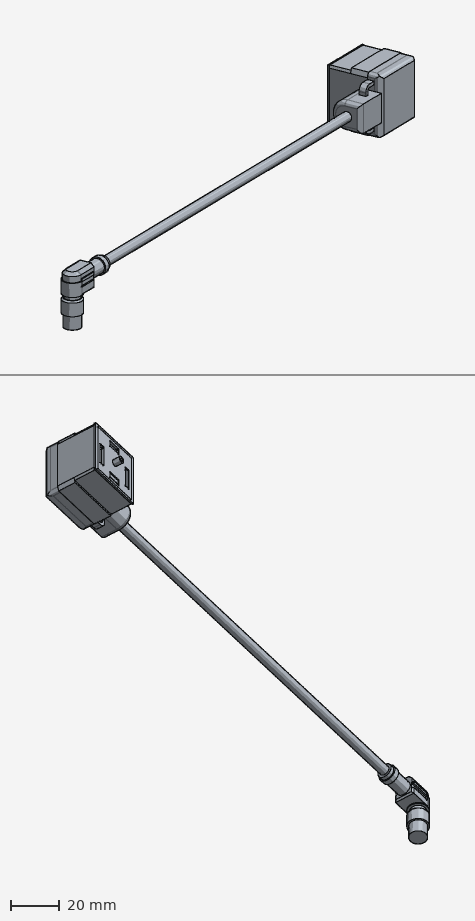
import cadquery as cq
import math


x_left = -23.0
x_right = 7.0
z_top = 14.0
z_bottom = -20.2
total_length = 252.0

block_length = 26.0
block_mid_y = -block_length / 2
seal_face_x = -19.5
gasket_thickness = 0.8
gasket_border_y = 1.5
step_x = -8.3
low_half_height = 13.0
flat_half_height = 11.8
low_bevel_y = 0.5
tall_bevel_y = 0.8
cover_joint_x = 0.0
cover_corner_radius = 1.8
cover_dome_x = 3.5
cover_dome_drop = 1.5

recess_depth = 0.5
slot_depth = 3.0
slot_width = 1.0
slot_margin = 0.8
side_recess_width = 2.5
side_recess_height = 10.5
side_recess_z = -1.8
side_recess_offset = 8.7
end_recess_width = 6.3
end_recess_height = 3.0
end_recess_offset = 8.8

screw_radius = 1.5
screw_hole_radius = 0.8
screw_hole_depth = 1.3

grip_radius = 6.5
grip_center_x = -1.0
grip_right_x = 6.8
grip_length = 15.4
grip_end_round = 2.0
grip_end_y = -block_length - grip_length

clip_width = 3.3
clip_thickness = 1.5
clip_outer_z = 11.0
clip_reach = 6.3
clip_bend_radius = 3.0

cable_radius = 2.3

sleeve_start_y = -224.2
sleeve_radius = 3.4
ring_start_y = -226.0
ring_length = 2.5
ring_radius = 4.0
head_start_y = -237.3
head_radius = 4.65
head_axis_y = -total_length + head_radius
head_bottom_z = -4.8
head_back_bevel = 0.8
head_ledge_z = 1.0
head_shoulder_z = 2.0
head_top_z = 5.3
head_top_inset = 0.5
head_top_bevel = 1.5
foot_bottom_z = -5.3
side_groove_top_z = 0.8
side_groove_height = 2.3
side_groove_depth = 0.8
neck_radius = 3.5

nut_top_z = -7.0
nut_step_z = -13.9
nut_radius = 4.65
nut_bevel = 0.8
thread_radius = 3.9


def block(x0, x1, y0, y1, z0, z1):
    """Box between two corner positions."""
    return cq.Workplane("XY").box(x1 - x0, y1 - y0, z1 - z0, centered=False).translate((x0, y0, z0))


def rod(radius, y_start, y_end):
    """Cylinder on the cable axis, running toward -Y."""
    return cq.Workplane("XZ", origin=(0, y_start, 0)).circle(radius).extrude(y_start - y_end)


def beveled_block(x0, x1, half_height, bevel_y):
    """Block along X whose four long edges are beveled down to the flat front and back."""
    half_length = block_length / 2
    outline = [
        (half_length, flat_half_height),
        (half_length - bevel_y, half_height),
        (bevel_y - half_length, half_height),
        (-half_length, flat_half_height),
        (-half_length, -flat_half_height),
        (bevel_y - half_length, -half_height),
        (half_length - bevel_y, -half_height),
        (half_length, -flat_half_height),
    ]
    return cq.Workplane("YZ", origin=(x0, block_mid_y, 0)).polyline(outline).close().extrude(x1 - x0)


def gasket_opening():
    """Inside of the gasket frame, filled by the contact face of the housing."""
    return block(seal_face_x, seal_face_x + gasket_thickness, gasket_border_y - block_length,
                 -gasket_border_y, -flat_half_height, flat_half_height)


def make_gasket():
    plate = block(seal_face_x, seal_face_x + gasket_thickness, -block_length, 0,
                  -low_half_height, low_half_height)
    return plate.cut(gasket_opening())


def pocket(y, z, size_y, size_z, depth):
    """Rectangular pocket in the sealing face; y is measured from the middle of the connector."""
    face = cq.Workplane("YZ", origin=(seal_face_x, block_mid_y, 0))
    return face.center(y, z).rect(size_y, size_z).extrude(depth)


def contact_pockets():
    """Shallow recesses, two upright at the sides and two lying above and below.

    A deeper slot runs along the inner edge of each upright one and the outer edge of each lying one.
    """
    pockets = cq.Workplane("XY")
    side_slot_offset = side_recess_offset - (side_recess_width - slot_width) / 2
    end_slot_offset = end_recess_offset + (end_recess_height - slot_width) / 2
    for side in (1, -1):
        recess_y = side * side_recess_offset
        recess_z = side * end_recess_offset
        pockets = (
            pockets
            .add(pocket(recess_y, side_recess_z, side_recess_width, side_recess_height, recess_depth))
            .add(pocket(side * side_slot_offset, side_recess_z, slot_width,
                        side_recess_height - 2 * slot_margin, slot_depth))
            .add(pocket(0, recess_z, end_recess_width, end_recess_height, recess_depth))
            .add(pocket(0, side * end_slot_offset, end_recess_width - 2 * slot_margin,
                        slot_width, slot_depth))
        )
    return pockets.combine()


def make_housing():
    low_part = beveled_block(seal_face_x + gasket_thickness, step_x, low_half_height, low_bevel_y)
    tall_part = beveled_block(step_x, cover_joint_x, z_top, tall_bevel_y)
    return low_part.union(tall_part).union(gasket_opening()).clean().cut(contact_pockets())


def dome_profile(plane, origin, half_width):
    """Outline that narrows along an arc at the outer end of the cover."""
    dome_depth = x_right - cover_dome_x
    arc_radius = (dome_depth**2 + cover_dome_drop**2) / (2 * cover_dome_drop)
    mid_drop = arc_radius - math.sqrt(arc_radius**2 - (dome_depth / 2) ** 2)
    mid_x = cover_dome_x + dome_depth / 2
    return (
        cq.Workplane(plane, origin=origin)
        .moveTo(cover_joint_x, -half_width)
        .lineTo(cover_dome_x, -half_width)
        .threePointArc((mid_x, mid_drop - half_width), (x_right, cover_dome_drop - half_width))
        .lineTo(x_right, half_width - cover_dome_drop)
        .threePointArc((mid_x, half_width - mid_drop), (cover_dome_x, half_width))
        .lineTo(cover_joint_x, half_width)
        .close()
    )


def make_cover():
    rounded = (
        block(cover_joint_x, x_right, -block_length, 0, -z_top, z_top)
        .edges("|X")
        .fillet(cover_corner_radius)
    )
    side_shape = dome_profile("XZ", (0, 0, 0), z_top).extrude(block_length)
    plan_shape = dome_profile("XY", (0, block_mid_y, 0), block_length / 2).extrude(z_top, both=True)
    return rounded.intersect(side_shape).intersect(plan_shape)


def make_screw():
    """Projecting end of the central screw, with a blind hole in its face."""
    return (
        cq.Workplane("YZ", origin=(seal_face_x, block_mid_y, 0))
        .circle(screw_radius)
        .extrude(x_left - seal_face_x)
        .faces("<X")
        .workplane()
        .hole(2 * screw_hole_radius, screw_hole_depth)
    )


def make_grip():
    """D-shaped grip: a half round on the left and a flat-sided block on the right."""
    return (
        cq.Workplane("XZ", origin=(0, -block_length, 0))
        .moveTo(grip_center_x, grip_radius)
        .threePointArc((grip_center_x - grip_radius, 0), (grip_center_x, -grip_radius))
        .lineTo(grip_right_x, -grip_radius)
        .lineTo(grip_right_x, grip_radius)
        .close()
        .extrude(grip_length)
        .faces("<Y")
        .edges()
        .fillet(grip_end_round)
    )


def make_clip(side):
    """Bent strip from the cover face to the grip; side is +1 above the grip and -1 below it."""
    y_face = -block_length
    y_end = y_face - clip_reach
    bend_y = y_end + clip_bend_radius
    bend_z = clip_outer_z - clip_bend_radius
    inner_radius = clip_bend_radius - clip_thickness
    diagonal = math.sqrt(0.5)

    def at(y, z):
        return (y, side * z)

    return (
        cq.Workplane("YZ", origin=(cover_joint_x, 0, 0))
        .moveTo(*at(y_face, clip_outer_z))
        .lineTo(*at(bend_y, clip_outer_z))
        .threePointArc(
            at(bend_y - clip_bend_radius * diagonal, bend_z + clip_bend_radius * diagonal),
            at(y_end, bend_z),
        )
        .lineTo(*at(y_end, grip_radius))
        .lineTo(*at(y_end + clip_thickness, grip_radius))
        .lineTo(*at(y_end + clip_thickness, bend_z))
        .threePointArc(
            at(bend_y - inner_radius * diagonal, bend_z + inner_radius * diagonal),
            at(bend_y, clip_outer_z - clip_thickness),
        )
        .lineTo(*at(y_face, clip_outer_z - clip_thickness))
        .close()
        .extrude(clip_width)
    )


def make_cable():
    return rod(cable_radius, grip_end_y, sleeve_start_y)


def nose_prism(half_width, z0, z1):
    """Upright prism with straight sides and a round nose about the nut axis."""
    return (
        cq.Workplane("XY", origin=(0, 0, z0))
        .moveTo(half_width, head_start_y)
        .lineTo(half_width, head_axis_y)
        .threePointArc((0, head_axis_y - half_width), (-half_width, head_axis_y))
        .lineTo(-half_width, head_start_y)
        .close()
        .extrude(z1 - z0)
    )


def nut_axis_cylinder(radius, z0, z1):
    return cq.Workplane("XY", origin=(0, head_axis_y, z0)).circle(radius).extrude(z1 - z0)


def make_plug():
    sleeve = rod(sleeve_radius, sleeve_start_y, head_start_y)
    ring = rod(ring_radius, ring_start_y, ring_start_y - ring_length)
    lower = (
        nose_prism(head_radius, head_bottom_z, head_ledge_z)
        .faces(">Y")
        .edges("|Z or <Z")
        .chamfer(head_back_bevel)
    )
    upper = (
        nose_prism(head_radius - head_top_inset, head_ledge_z, head_top_z)
        .faces(">Z")
        .edges("not >Y")
        .chamfer(head_top_bevel)
    )
    foot = nut_axis_cylinder(head_radius, foot_bottom_z, head_bottom_z)
    neck = nut_axis_cylinder(neck_radius, nut_top_z, foot_bottom_z)
    shoulder = block(-head_radius, head_radius, head_axis_y, head_start_y - head_back_bevel,
                     head_ledge_z, head_shoulder_z)
    head = lower.union(shoulder).union(upper)
    plug = head.union(sleeve).union(ring).union(foot).union(neck)
    groove_bottom_z = side_groove_top_z - side_groove_height
    groove_floor_x = head_radius - side_groove_depth
    for x0, x1 in ((-head_radius, -groove_floor_x), (groove_floor_x, head_radius)):
        plug = plug.cut(block(x0, x1, head_axis_y, head_start_y, groove_bottom_z, side_groove_top_z))
    return plug


def make_nut():
    collar = nut_axis_cylinder(nut_radius, nut_step_z, nut_top_z).faces(">Z").edges().chamfer(nut_bevel)
    return collar.union(nut_axis_cylinder(thread_radius, z_bottom, nut_step_z))


gasket = make_gasket()
housing = make_housing()
cover = make_cover()
screw = make_screw()
grip = make_grip()
clips = [make_clip(side) for side in (1, -1)]
cable = make_cable()
plug = make_plug()
nut = make_nut()

result = cq.Compound.makeCompound(
    [
        gasket.val(),
        housing.val(),
        cover.val(),
        screw.val(),
        grip.val(),
        *[clip.val() for clip in clips],
        cable.val(),
        plug.val(),
        nut.val(),
    ]
)